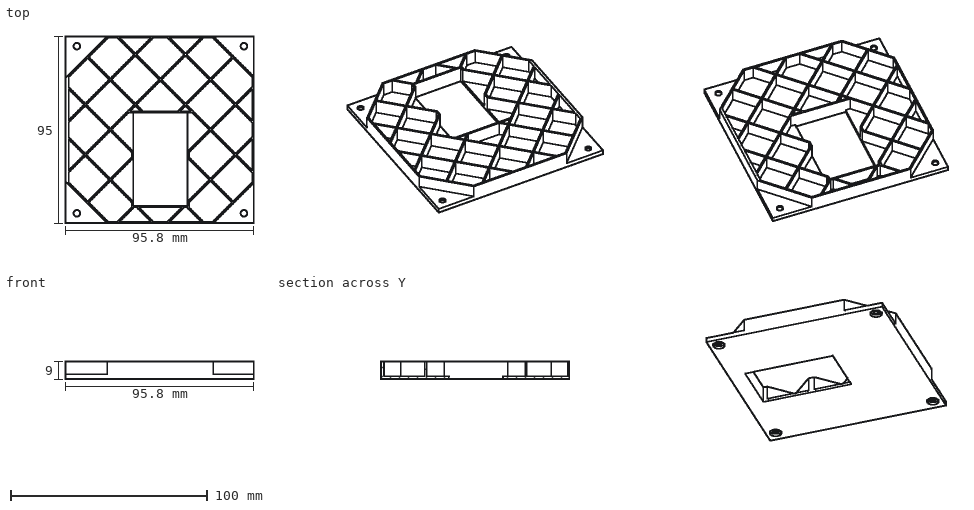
import cadquery as cq
import math

square_side = 95.0
left_extra = 0.8
total_height = 9.0
pad_height = 2.5
floor_thickness = 1.5
wall = 0.8

hole_diameter = 3.3
hole_spacing = 84.9
counterbore_diameter = 6.0
counterbore_depth = 1.4

corner_cut_distance = 52.7

rib_pitch = 18.0
ribs_each_side = 2

window_width = 27.5
window_top = 8.7
window_bottom = -38.7

half_side = square_side / 2
wall_height = total_height - floor_thickness
crossing_step = rib_pitch * math.sqrt(2)
rib_length = 2 * square_side


def block(x_min, x_max, y_min, y_max, z_min, z_max):
    """Box given by its limits along each axis."""
    size = (x_max - x_min, y_max - y_min, z_max - z_min)
    return cq.Workplane("XY").box(*size, centered=False).translate((x_min, y_min, z_min))


def diamond(half_width, z_min, height):
    """Square prism about the Z axis turned by 45 degrees."""
    side = 2 * half_width
    prism = cq.Workplane("XY").workplane(offset=z_min).rect(side, side).extrude(height)
    return prism.rotate((0, 0, 0), (0, 0, 1), 45)


def window_block(margin):
    """Window outline grown by a margin, from the underside to the top."""
    half_width = window_width / 2 + margin
    return block(-half_width, half_width, window_bottom - margin, window_top + margin, 0, total_height)


def base_tray():
    """Plate with corner pads and an octagonal frame around a lower floor."""
    left = -half_side - left_extra
    plate = block(left, half_side, -half_side, half_side, 0, pad_height)
    frame = block(left, half_side, -half_side, half_side, 0, total_height)
    frame = frame.intersect(diamond(corner_cut_distance, 0, total_height))
    return plate.union(frame).cut(frame_interior())


def frame_interior():
    """Space inside the frame, above the floor."""
    inner = half_side - wall
    space = block(-inner, inner, -inner, inner, floor_thickness, total_height)
    return space.intersect(diamond(corner_cut_distance - wall, floor_thickness, wall_height))


def rib_grid():
    """Ribs in both diagonal directions, as wide as the frame interior."""
    offsets = [rib_pitch * i for i in range(-ribs_each_side, ribs_each_side + 1)]
    plane = cq.Workplane("XY").workplane(offset=floor_thickness)
    along = plane.pushPoints([(0, y) for y in offsets]).rect(rib_length, wall).extrude(wall_height)
    across = plane.pushPoints([(x, 0) for x in offsets]).rect(wall, rib_length).extrude(wall_height)
    grid = along.union(across).rotate((0, 0, 0), (0, 0, 1), 45)
    return grid.intersect(frame_interior())


def window_walls():
    """Walls around the window, left out where a rib bay opens onto it."""
    top_wall = block(
        -half_side, half_side, window_top, window_top + wall, floor_thickness, total_height
    ).intersect(diamond(rib_pitch, floor_thickness, wall_height))
    walls = window_block(wall).union(top_wall)
    below_top_wall = block(-half_side, half_side, -half_side, window_top, floor_thickness, total_height)
    for side in (-1, 1):
        for row in (0, -1):
            bay = diamond(rib_pitch / 2, floor_thickness, wall_height)
            bay = bay.translate((side * crossing_step / 2, row * crossing_step, 0))
            walls = walls.cut(bay.intersect(below_top_wall))
    return walls


def corner_holes():
    """Through holes in the four corner pads, counterbored from the underside."""
    centers = cq.Workplane("XY").rect(hole_spacing, hole_spacing, forConstruction=True).vertices()
    holes = centers.circle(hole_diameter / 2).extrude(total_height)
    counterbores = centers.circle(counterbore_diameter / 2).extrude(counterbore_depth)
    return holes.union(counterbores)


result = (
    base_tray()
    .union(window_walls())
    .union(rib_grid())
    .cut(window_block(0))
    .cut(corner_holes())
)